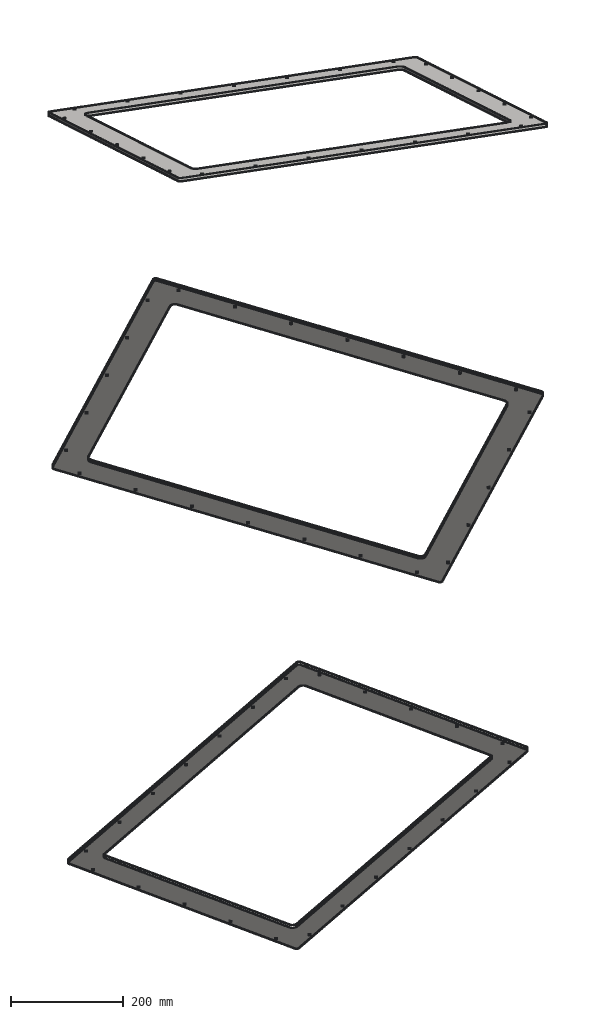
import cadquery as cq

WIDTH = 490.0
LENGTH = 745.0
THICKNESS = 6.35
CORNER_RADIUS = 5.0

SIDE_RAIL_WIDTH = 40.0
END_RAIL_WIDTH = 50.0
WINDOW_CORNER_RADIUS = 10.0

HOLE_DIAMETER = 3.5
HOLE_EDGE_DISTANCE = 7.5
END_HOLE_COUNT = 5
END_HOLE_PITCH = 97.5
SIDE_HOLE_COUNT = 7
SIDE_HOLE_PITCH = 107.5


def rounded_plate(width, length, radius):
    """Plate centred on the origin with rounded upright corners."""
    plate = cq.Workplane("XY").box(width, length, THICKNESS)
    return plate.edges("|Z").fillet(radius)


def centred_positions(count, pitch):
    """Evenly spaced coordinates, symmetric about zero."""
    return [(i - (count - 1) / 2) * pitch for i in range(count)]


def screw_hole_centres():
    """Hole centres in one row per rail, all at the same edge distance."""
    row_x = WIDTH / 2 - HOLE_EDGE_DISTANCE
    row_y = LENGTH / 2 - HOLE_EDGE_DISTANCE
    centres = []
    for side in (-1, 1):
        for x in centred_positions(END_HOLE_COUNT, END_HOLE_PITCH):
            centres.append((x, side * row_y))
        for y in centred_positions(SIDE_HOLE_COUNT, SIDE_HOLE_PITCH):
            centres.append((side * row_x, y))
    return centres


outer_plate = rounded_plate(WIDTH, LENGTH, CORNER_RADIUS)
window = rounded_plate(
    WIDTH - 2 * SIDE_RAIL_WIDTH,
    LENGTH - 2 * END_RAIL_WIDTH,
    WINDOW_CORNER_RADIUS,
)
frame = outer_plate.cut(window)

result = (
    frame.faces(">Z")
    .workplane(origin=(0, 0, 0))
    .pushPoints(screw_hole_centres())
    .hole(HOLE_DIAMETER)
)